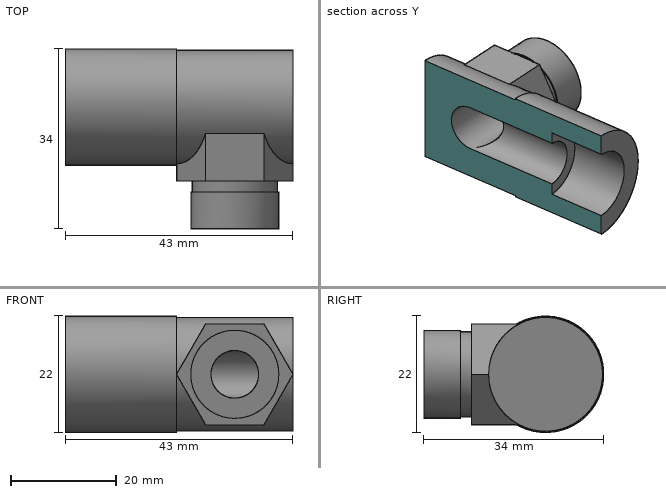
import cadquery as cq

total_length = 43.0
sleeve_diameter = 22.0
body_diameter = 21.5

hex_across_corners = 22.0
hex_reach = 14.0
neck_diameter = 16.15
neck_reach = 16.1
spigot_diameter = 16.65
branch_reach = 23.0

bore_diameter = 9.0
socket_diameter = 13.6
socket_depth = 12.05

sleeve_length = total_length - hex_across_corners
branch_x = total_length - hex_across_corners / 2


def barrel_cylinder(diameter, start_x, end_x):
    """Cylinder on the barrel axis between two X positions.

    Its seam faces -Y so that it meets the hexagon corner that touches the end face.
    """
    end_plane = cq.Plane(origin=(start_x, 0, 0), xDir=(0, -1, 0), normal=(1, 0, 0))
    return cq.Workplane(end_plane).circle(diameter / 2).extrude(end_x - start_x)


def branch_cylinder(diameter, start_reach, end_reach):
    """Cylinder on the branch axis between two distances from the barrel axis."""
    return (
        cq.Workplane("XZ", origin=(branch_x, -start_reach, 0))
        .circle(diameter / 2)
        .extrude(end_reach - start_reach)
    )


def make_hexagon():
    """Hexagon with corners along X and flats facing up and down."""
    return (
        cq.Workplane("XZ", origin=(branch_x, 0, 0))
        .polygon(6, hex_across_corners)
        .extrude(hex_reach)
    )


def make_elbow_bore():
    """Passage of constant diameter with a sharp mitred turn where the axes meet."""
    path = cq.Workplane("XY").polyline([(0, 0), (branch_x, 0), (branch_x, -branch_reach)])
    return cq.Workplane("YZ").circle(bore_diameter / 2).sweep(path, transition="right")


sleeve = barrel_cylinder(sleeve_diameter, 0, sleeve_length)
body = barrel_cylinder(body_diameter, sleeve_length, total_length)
neck = branch_cylinder(neck_diameter, hex_reach, neck_reach)
spigot = branch_cylinder(spigot_diameter, neck_reach, branch_reach)
socket = barrel_cylinder(socket_diameter, 0, socket_depth)

outside = body.union(make_hexagon()).union(sleeve).union(neck).union(spigot)
result = outside.cut(make_elbow_bore()).cut(socket)